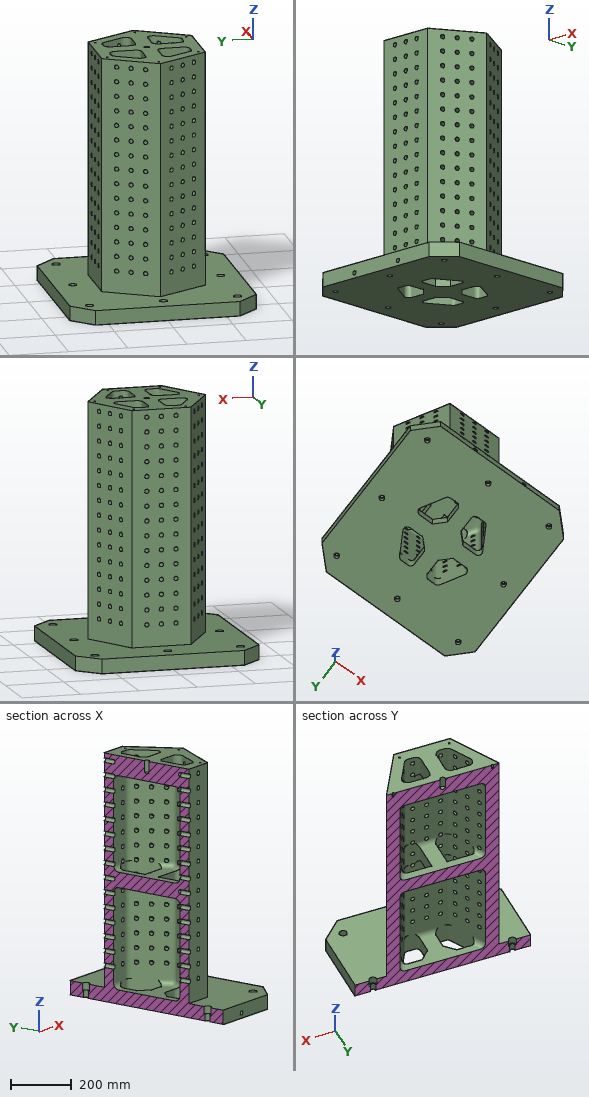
import cadquery as cq
import math

BASE_SIDE = 630
BASE_THICKNESS = 50
BASE_CORNER_CHAMFER = 71
BASE_HOLE_PITCH = 250
BASE_HOLE_DIAMETER = 18
BASE_COUNTERBORE_DIAMETER = 26
BASE_COUNTERBORE_DEPTH = 25
BASE_SIDE_HOLE_SPACING = 200
BASE_SIDE_HOLE_DIAMETER = 14
BASE_SIDE_HOLE_DEPTH = 40
BASE_SIDE_HOLE_Z = 18

TOTAL_HEIGHT = 850
COLUMN_FLATS = 350
WALL_THICKNESS = 40
HEX_SIDES = 6

WEB_WIDTH = 55
CAVITY_FILLET = 20
CAVITY_FLOOR_FILLET = 19
TOP_WEB_DEPTH = 70
MIDDLE_WEB_THICKNESS = 54
BASE_HUB_DIAGONAL = 180
LOWER_WINDOW_FILLET = 15

GRID_PITCH = 50
GRID_COLUMNS = 3
GRID_ROWS = 15
GRID_TOP_MARGIN = 25
MIDDLE_WEB_ROW = 8
GRID_HOLE_DIAMETER = 14

DRILL_TIP_ANGLE = 118

CENTER_HOLE_DIAMETER = 17.5
CENTER_HOLE_DEPTH = 40
TOP_HOLE_DIAMETER = 5
TOP_HOLE_DEPTH = 15
TOP_HOLE_RADIUS = 178

CAVITY_FLATS = COLUMN_FLATS - 2 * WALL_THICKNESS
FIRST_ROW_Z = TOTAL_HEIGHT - GRID_TOP_MARGIN
MIDDLE_ROW_Z = FIRST_ROW_Z - MIDDLE_WEB_ROW * GRID_PITCH
UPPER_CAVITY_TOP = TOTAL_HEIGHT - TOP_WEB_DEPTH
UPPER_CAVITY_BOTTOM = MIDDLE_ROW_Z + MIDDLE_WEB_THICKNESS / 2
LOWER_CAVITY_TOP = MIDDLE_ROW_Z - MIDDLE_WEB_THICKNESS / 2


def hexagon_prism(flats, bottom, height):
    """Upright hexagonal prism with two corners on the X axis."""
    corner_diameter = flats / math.cos(math.pi / HEX_SIDES)
    return cq.Workplane("XY", origin=(0, 0, bottom)).polygon(HEX_SIDES, corner_diameter).extrude(height)


def base_plate():
    plate = cq.Workplane("XY").box(BASE_SIDE, BASE_SIDE, BASE_THICKNESS, centered=(True, True, False))
    return plate.edges("|Z").chamfer(BASE_CORNER_CHAMFER)


def drill(plane, points, diameter, depth):
    """Blind drills with a conical tip, entering a face against its plane normal."""
    radius = diameter / 2
    tip_length = radius / math.tan(math.radians(DRILL_TIP_ANGLE / 2))
    profile = cq.Workplane("XZ").polyline([(0, 0), (radius, 0), (radius, -depth), (0, -depth - tip_length)])
    tool = profile.close().revolve(360, (0, 0, 0), (0, 1, 0)).val()
    return plane.pushPoints(points).eachpoint(lambda location: tool.moved(location), useLocalCoordinates=True)


def cavity(bottom, top):
    """Hexagonal chamber inside the column, rounded on all its edges."""
    chamber = hexagon_prism(CAVITY_FLATS, bottom, top - bottom).edges("|Z").fillet(CAVITY_FILLET)
    return chamber.faces("<Z or >Z").edges().fillet(CAVITY_FLOOR_FILLET)


def web_windows(bottom, height):
    """Four sharp-cornered windows left open by a cross of two bars."""
    bar = cq.Workplane("XY", origin=(0, 0, bottom)).rect(COLUMN_FLATS, WEB_WIDTH).extrude(height)
    crossing_bar = bar.rotate((0, 0, 0), (0, 0, 1), 90)
    return hexagon_prism(CAVITY_FLATS, bottom, height).cut(bar).cut(crossing_bar)


def is_outer_corner(edge):
    """True for the window corners that lie away from the crossing of the bars."""
    corner = edge.Center()
    return math.hypot(corner.x, corner.y) > WEB_WIDTH


def top_windows():
    bottom = UPPER_CAVITY_TOP - CAVITY_FLOOR_FILLET
    return web_windows(bottom, TOTAL_HEIGHT - bottom).edges("|Z").fillet(CAVITY_FILLET)


def lower_windows(bottom, top):
    """Windows rounded only at the column wall."""
    return web_windows(bottom, top - bottom).edges("|Z").filter(is_outer_corner).fillet(LOWER_WINDOW_FILLET)


def middle_windows():
    return lower_windows(LOWER_CAVITY_TOP - CAVITY_FLOOR_FILLET, UPPER_CAVITY_BOTTOM + CAVITY_FLOOR_FILLET)


def base_windows():
    """Windows through the base plate, cut back at 45 degrees around a square hub."""
    hub = cq.Workplane("XY").polygon(4, BASE_HUB_DIAGONAL).extrude(BASE_THICKNESS)
    return lower_windows(0, BASE_THICKNESS + CAVITY_FLOOR_FILLET).cut(hub)


def body():
    column = hexagon_prism(COLUMN_FLATS, BASE_THICKNESS, TOTAL_HEIGHT - BASE_THICKNESS)
    solid = base_plate().union(column)
    solid = solid.cut(cavity(UPPER_CAVITY_BOTTOM, UPPER_CAVITY_TOP))
    solid = solid.cut(cavity(BASE_THICKNESS, LOWER_CAVITY_TOP))
    return solid.cut(top_windows()).cut(middle_windows()).cut(base_windows())


def base_holes():
    positions = []
    for column in (-1, 0, 1):
        for row in (-1, 0, 1):
            if (column, row) != (0, 0):
                positions.append((column * BASE_HOLE_PITCH, row * BASE_HOLE_PITCH))
    drills = cq.Workplane("XY").pushPoints(positions).circle(BASE_HOLE_DIAMETER / 2).extrude(BASE_THICKNESS)
    top = cq.Workplane("XY", origin=(0, 0, BASE_THICKNESS)).pushPoints(positions)
    return drills.union(top.circle(BASE_COUNTERBORE_DIAMETER / 2).extrude(-BASE_COUNTERBORE_DEPTH))


def base_side_holes():
    face = cq.Workplane("XZ", origin=(0, -BASE_SIDE / 2, BASE_SIDE_HOLE_Z))
    points = [(-BASE_SIDE_HOLE_SPACING / 2, 0), (BASE_SIDE_HOLE_SPACING / 2, 0)]
    return drill(face, points, BASE_SIDE_HOLE_DIAMETER, BASE_SIDE_HOLE_DEPTH)


def grid_holes():
    """Hole grid of the -Y face; the holes stay blind where a web stands behind the wall."""
    face = cq.Workplane("XZ", origin=(0, -COLUMN_FLATS / 2, FIRST_ROW_Z))
    points = []
    for column in range(GRID_COLUMNS):
        for row in range(GRID_ROWS):
            points.append(((column - (GRID_COLUMNS - 1) / 2) * GRID_PITCH, -row * GRID_PITCH))
    return drill(face, points, GRID_HOLE_DIAMETER, WALL_THICKNESS)


def top_center_hole():
    face = cq.Workplane("XY", origin=(0, 0, TOTAL_HEIGHT))
    return drill(face, [(0, 0)], CENTER_HOLE_DIAMETER, CENTER_HOLE_DEPTH)


def top_corner_holes():
    face = cq.Workplane("XY", origin=(0, 0, TOTAL_HEIGHT))
    ring = face.polarArray(TOP_HOLE_RADIUS, 0, 360, HEX_SIDES).circle(TOP_HOLE_DIAMETER / 2)
    return ring.extrude(-TOP_HOLE_DEPTH)


result = body().cut(base_holes()).cut(base_side_holes()).cut(top_center_hole()).cut(top_corner_holes())
face_grid = grid_holes()
for side in range(HEX_SIDES):
    result = result.cut(face_grid.rotate((0, 0, 0), (0, 0, 1), side * 360 / HEX_SIDES))